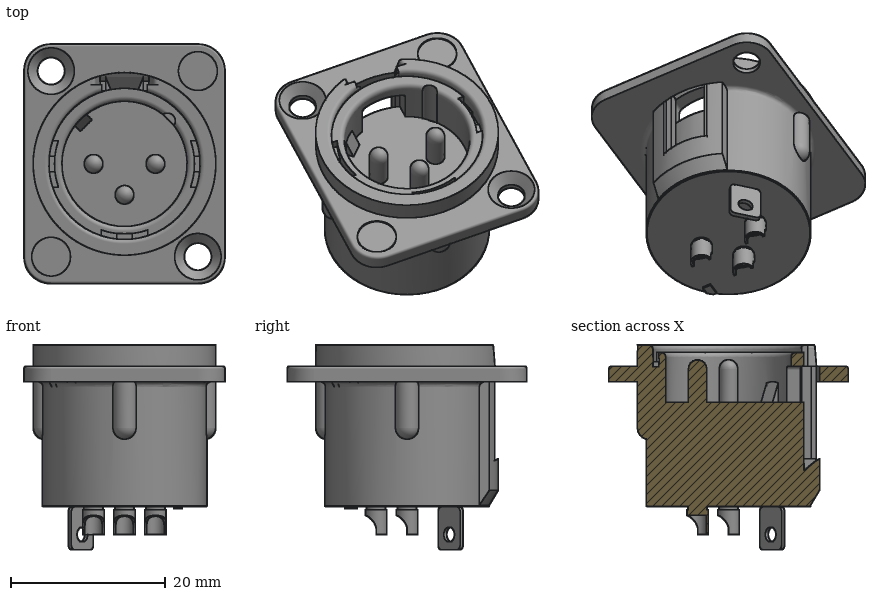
import cadquery as cq


total_height = 26.5

flange_x = 26.0
flange_y = 31
flange_top = 2.0
flange_corner = 3.5
flange_edge = 0.35
screw_x = 9.5
screw_y = 12.0
screw_radius = 1.75
countersink_radius = 3.0
countersink_angle = 90
badge_radius = 2.5
badge_depth = 0.2

ring_top = 4.77
outer_radius = 11.8
ring_bore = 9.75
ring_round = 0.55
ledge_depth = 0.95
ledge_z = ring_top - ledge_depth
socket_radius = 8.1
socket_round = 0.62
socket_floor = -2.65

barrel_radius = 10.65
barrel_bottom = -16.15
barrel_edge = 0.12
cove = 0.65

lug_radius = 1.52
lug_end = -5.95

housing_half = 5.1
housing_taper_z = -14.0
slot_half = 3.22
slot_inner_radius = ring_bore
window_half = 3.05
window_top = 1.98
window_round = 0.45
latch_wall_top = -9.92
latch_lip_y = 11.25
latch_lip_z = -10.23
latch_foot_y = 9.18
latch_foot_z = -11.95
rail_half_gap = 2.45
rail_end_y = 10.7
cheek_foot_half = 1.6

gap_half_low = 3.15
gap_half_high = 3.72
gap_round = 0.55
gap_step_y = 10.23
gap_neck_half = 2.95

pocket_half = 3.0
pocket_inner = 9.05
pocket_depth = 1.25
pocket_center_half = 1.0
pocket_center_depth = 1.85

key_angle = 45
key_radius = 1.02
key_center = 7.85
key_extra_depth = 1.25
key_chord = (socket_radius**2 + key_center**2 - key_radius**2) / (2 * key_center)

pin_offset = 4.0
pin_radius = 1.2
pin_shoulder = 1.65
pin_places = [(-pin_offset, 0), (pin_offset, 0), (0, -pin_offset)]

cup_radius = 1.4
cup_neck_radius = 1.25
cup_shoulder = -16.52
cup_bottom = -19.75
cup_bore_radius = 1.12
cup_rim = -17.27
cup_scoop_radius = 2.32
cup_scoop_end = -18.88

ground_angle = 135
tab_distance = 7.97
tab_width = 4.03
tab_thickness = 0.55
tab_bottom = ring_top - total_height
tab_round = 0.62
tab_hole_radius = 0.95
tab_hole_z = -19.75
contact_inner = 7.0
contact_width = 2.1
contact_top = 0

pad_x = 6.9
pad_y = -7.25
pad_size = (1.15, 1.6)
pad_height = 0.25

overlap = 0.3


def cylinder(radius, z_low, z_high, x=0, y=0):
    return cq.Workplane("XY", origin=(x, y, z_low)).circle(radius).extrude(z_high - z_low)


def box(x_range, y_range, z_range):
    size = [high - low for low, high in (x_range, y_range, z_range)]
    corner = (x_range[0], y_range[0], z_range[0])
    return cq.Workplane("XY").box(*size, centered=False).translate(corner)


def spin(profile):
    """Revolve a closed (radius, z) profile around Z."""
    return profile.close().revolve(360, (0, 0, 0), (0, 1, 0))


def radial_to_diagonal(solid):
    """Turn a solid built along +X to the ground diagonal."""
    return solid.rotate((0, 0, 0), (0, 0, 1), ground_angle)


def make_flange():
    plate = cq.Workplane("XY").rect(flange_x, flange_y).extrude(flange_top)
    plate = plate.edges("|Z").fillet(flange_corner)
    plate = plate.faces(">Z").edges().fillet(flange_edge)
    holes = [(-screw_x, screw_y), (screw_x, -screw_y)]
    badges = [(screw_x, screw_y), (-screw_x, -screw_y)]
    plate = (
        plate.faces(">Z").workplane(origin=(0, 0, flange_top)).pushPoints(holes)
        .cskHole(2 * screw_radius, 2 * countersink_radius, countersink_angle)
    )
    for x, y in badges:
        plate = plate.cut(cylinder(badge_radius, flange_top - badge_depth, ring_top, x, y))
    return plate


def make_barrel():
    """Ring and barrel as one turned piece, with a cove under the flange."""
    profile = (
        cq.Workplane("XZ")
        .moveTo(0, ring_top)
        .lineTo(outer_radius, ring_top)
        .lineTo(outer_radius, 0)
        .lineTo(barrel_radius + cove, 0)
        .radiusArc((barrel_radius, -cove), -cove)
        .lineTo(barrel_radius, barrel_bottom + barrel_edge)
        .lineTo(barrel_radius - barrel_edge, barrel_bottom)
        .lineTo(0, barrel_bottom)
    )
    return spin(profile)


def make_lugs():
    lugs = cq.Workplane("XY")
    center = outer_radius - lug_radius
    for x, y in [(-center, 0), (center, 0), (0, -center)]:
        lugs = lugs.add(cylinder(lug_radius, lug_end, overlap, x, y))
        lugs = lugs.add(cq.Workplane("XY").sphere(lug_radius).translate((x, y, lug_end)))
    return lugs.combine()


def make_housing():
    """Latch housing: a slice of a turned body that tapers at its lower end."""
    profile = (
        cq.Workplane("XZ")
        .moveTo(0, overlap)
        .lineTo(outer_radius, overlap)
        .lineTo(outer_radius, housing_taper_z)
        .lineTo(barrel_radius - barrel_edge, barrel_bottom)
        .lineTo(0, barrel_bottom)
    )
    slice_box = box((-housing_half, housing_half), (0, outer_radius), (barrel_bottom, overlap))
    return spin(profile).intersect(slice_box)


def make_keyway():
    """Round groove in the socket wall towards +X +Y, running below the contact floor."""
    bottom = socket_floor - key_extra_depth
    groove = cylinder(key_radius, bottom, ledge_z, key_center)
    outer_part = box((key_chord, outer_radius), (-key_radius, key_radius), (bottom, ledge_z))
    return groove.intersect(outer_part).rotate((0, 0, 0), (0, 0, 1), key_angle)


def make_socket():
    """Stepped and rounded opening from the ring down to the contact floor."""
    profile = (
        cq.Workplane("XZ")
        .moveTo(0, ring_top)
        .lineTo(ring_bore + ring_round, ring_top)
        .radiusArc((ring_bore, ring_top - ring_round), -ring_round)
        .lineTo(ring_bore, ledge_z)
        .lineTo(socket_radius + socket_round, ledge_z)
        .radiusArc((socket_radius, ledge_z - socket_round), -socket_round)
        .lineTo(socket_radius, socket_floor)
        .lineTo(0, socket_floor)
    )
    return spin(profile).union(make_keyway())


def make_pocket():
    """One two-step pocket on the +X side, between the sleeve and the ring bore."""
    band = cylinder(ring_bore, ledge_z - pocket_center_depth, ledge_z)
    band = band.cut(cylinder(pocket_inner, ledge_z - pocket_center_depth, ledge_z))
    wide = box((0, ring_bore), (-pocket_half, pocket_half), (ledge_z - pocket_depth, ledge_z))
    deep = box(
        (0, ring_bore),
        (-pocket_center_half, pocket_center_half),
        (ledge_z - pocket_center_depth, ledge_z),
    )
    return band.intersect(wide.union(deep))


def make_latch_cheeks():
    """Two three-sided cheeks standing on the sloped wall, one beside each rail."""
    cheek = (
        cq.Workplane("XY", origin=(0, 0, barrel_bottom))
        .polyline([
            (rail_half_gap, latch_lip_y),
            (cheek_foot_half, latch_foot_y),
            (rail_half_gap, latch_foot_y),
        ])
        .close()
        .extrude(latch_wall_top - barrel_bottom)
    )
    return cheek.union(cheek.mirror("YZ"))


def make_latch_slot():
    """Slot down the housing, less its rails, its cheeks and the sloped wall low down."""
    z_range = (barrel_bottom, flange_top)
    slot = box((-slot_half, slot_half), (0, outer_radius), z_range)
    slot = slot.intersect(cylinder(outer_radius, *z_range))
    slot = slot.cut(cylinder(slot_inner_radius, *z_range))
    wall = (
        cq.Workplane("YZ", origin=(-slot_half, 0, 0))
        .polyline([
            (outer_radius, latch_wall_top),
            (latch_lip_y, latch_lip_z),
            (latch_foot_y, latch_foot_z),
            (latch_foot_y, barrel_bottom),
            (outer_radius, barrel_bottom),
        ])
        .close()
        .extrude(2 * slot_half)
    )
    for x_range in [(-slot_half, -rail_half_gap), (rail_half_gap, slot_half)]:
        slot = slot.cut(box(x_range, (0, rail_end_y), z_range))
    return slot.cut(wall).cut(make_latch_cheeks())


def make_window():
    """Opening through the socket wall into the latch slot."""
    opening = box((-window_half, window_half), (0, slot_inner_radius), (socket_floor, window_top))
    opening = opening.edges("|Y and >Z").fillet(window_round)
    return opening.intersect(cylinder(slot_inner_radius, socket_floor, window_top))


def make_ring_gap():
    """Flared gap with rounded lips through the ring, narrower next to the bore."""
    lip_half = gap_half_high + gap_round
    lip_z = ring_top - gap_round
    flare = (
        cq.Workplane("XZ", origin=(0, gap_step_y, 0))
        .moveTo(-gap_half_low, flange_top)
        .lineTo(gap_half_low, flange_top)
        .lineTo(gap_half_high, lip_z)
        .radiusArc((lip_half, ring_top), gap_round)
        .lineTo(-lip_half, ring_top)
        .radiusArc((-gap_half_high, lip_z), gap_round)
        .close()
        .extrude(gap_step_y - outer_radius)
    )
    neck_y = (ring_bore - overlap, gap_step_y)
    neck = box((-gap_neck_half, gap_neck_half), neck_y, (flange_top, ring_top))
    return flare.union(neck.cut(cylinder(ring_bore, flange_top, ledge_z)))


def make_pin(x, y):
    pin = cylinder(pin_radius, socket_floor - overlap, pin_shoulder, x, y)
    return pin.union(cq.Workplane("XY").sphere(pin_radius).translate((x, y, pin_shoulder)))


def make_cup(x, y):
    """Solder cup with its -Y half scooped away."""
    cup = cylinder(cup_radius, cup_bottom, cup_shoulder)
    cup = cup.union(cylinder(cup_neck_radius, cup_shoulder, barrel_bottom + overlap))
    cup = cup.cut(cylinder(cup_bore_radius, cup_bottom, cup_rim))
    scoop = (
        cq.Workplane("YZ", origin=(-cup_radius, 0, 0))
        .moveTo(-cup_radius, cup_rim)
        .radiusArc((0, cup_scoop_end), cup_scoop_radius)
        .lineTo(0, cup_bottom)
        .lineTo(-cup_radius, cup_bottom)
        .close()
        .extrude(2 * cup_radius)
    )
    return cup.cut(scoop).translate((x, y, 0))


def make_ground_tab():
    height = barrel_bottom - tab_bottom
    middle = (barrel_bottom + tab_bottom) / 2
    tab = cq.Workplane("XY").box(tab_thickness, tab_width, height).edges("|X").fillet(tab_round)
    tab = tab.translate((tab_distance, 0, middle))
    hole = (
        cq.Workplane("YZ", origin=(tab_distance - tab_thickness, 0, tab_hole_z))
        .circle(tab_hole_radius)
        .extrude(2 * tab_thickness)
    )
    root_half = tab_width / 2 - tab_round
    root_x = (tab_distance - tab_thickness / 2, tab_distance + tab_thickness / 2)
    root = box(root_x, (-root_half, root_half), (barrel_bottom - overlap, barrel_bottom + overlap))
    return radial_to_diagonal(tab.cut(hole).union(root))


def make_ground_contact():
    """Ramp that leans from the contact floor to the socket wall."""
    ramp = (
        cq.Workplane("XZ", origin=(0, contact_width / 2, 0))
        .polyline([
            (contact_inner, socket_floor - overlap),
            (contact_inner, socket_floor),
            (socket_radius, contact_top),
            (socket_radius + overlap, contact_top),
            (socket_radius + overlap, socket_floor - overlap),
        ])
        .close()
        .extrude(contact_width)
    )
    return radial_to_diagonal(ramp)


def make_pad():
    pad = cq.Workplane("XY").box(*pad_size, pad_height + overlap, centered=(True, True, False))
    pad = pad.translate((pad_x, pad_y, barrel_bottom - pad_height))
    return pad.intersect(cylinder(barrel_radius - barrel_edge, barrel_bottom - pad_height, 0))


body = make_flange().union(make_barrel()).union(make_lugs()).union(make_housing())
body = body.cut(make_socket()).cut(make_latch_slot()).cut(make_window()).cut(make_ring_gap())

pocket = make_pocket()
for pocket_angle in (0, 180, 270):
    body = body.cut(pocket.rotate((0, 0, 0), (0, 0, 1), pocket_angle))

for pin_x, pin_y in pin_places:
    body = body.union(make_pin(pin_x, pin_y)).union(make_cup(pin_x, pin_y))

result = body.union(make_ground_tab()).union(make_ground_contact()).union(make_pad())